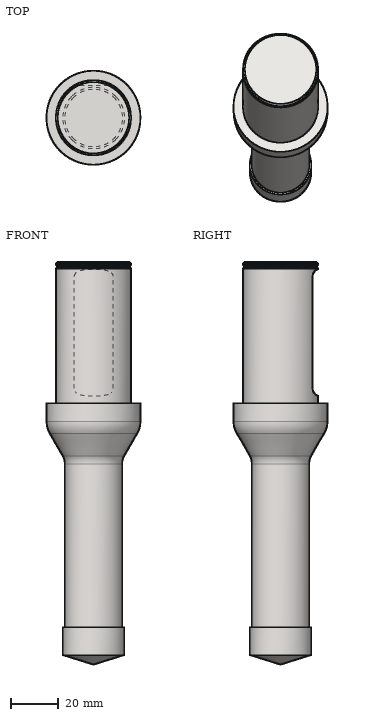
import cadquery as cq
import math

total_length = 171.0
collar_top = 111.0
collar_bottom = 103.3
head_top = 15.9
head_bottom = 4.1

shank_radius = 32.0 / 2
collar_radius = 40.0 / 2
neck_radius = 24.5 / 2
head_radius = 26.2 / 2

chamfer_width = 0.9
chamfer_height = 0.9
groove_top = 169.8
groove_bottom = 168.1
groove_side_height = 0.5
groove_depth = 0.3

taper_angle = math.radians(30)
collar_blend_radius = 10.0
neck_blend_radius = 6.8

flat_distance = 13.7
flat_top = 168.0
flat_bottom = 114.0
flat_corner_radius = 3.0


def blend_offsets(radius, angle):
    """Radial and axial size of an arc that starts parallel to the axis and turns by angle."""
    return radius * (1 - math.cos(angle)), radius * math.sin(angle)


def make_turned_holder():
    """Shank, collar, tapered shoulder and neck as one revolved profile."""
    collar_drop, collar_fall = blend_offsets(collar_blend_radius, taper_angle)
    collar_mid_drop, collar_mid_fall = blend_offsets(collar_blend_radius, taper_angle / 2)
    neck_drop, neck_rise = blend_offsets(neck_blend_radius, taper_angle)
    neck_mid_drop, neck_mid_rise = blend_offsets(neck_blend_radius, taper_angle / 2)

    cone_top_radius = collar_radius - collar_drop
    cone_top = collar_bottom - collar_fall
    cone_bottom_radius = neck_radius + neck_drop
    cone_bottom = cone_top - (cone_top_radius - cone_bottom_radius) / math.tan(taper_angle)
    neck_top = cone_bottom - neck_rise

    return (
        cq.Workplane("XZ")
        .moveTo(0, total_length)
        .lineTo(shank_radius - chamfer_width, total_length)
        .lineTo(shank_radius, total_length - chamfer_height)
        .lineTo(shank_radius, groove_top)
        .lineTo(shank_radius - groove_depth, groove_top - groove_side_height)
        .lineTo(shank_radius - groove_depth, groove_bottom + groove_side_height)
        .lineTo(shank_radius, groove_bottom)
        .lineTo(shank_radius, collar_top)
        .lineTo(collar_radius, collar_top)
        .lineTo(collar_radius, collar_bottom)
        .threePointArc(
            (collar_radius - collar_mid_drop, collar_bottom - collar_mid_fall),
            (cone_top_radius, cone_top),
        )
        .lineTo(cone_bottom_radius, cone_bottom)
        .threePointArc(
            (neck_radius + neck_mid_drop, neck_top + neck_mid_rise),
            (neck_radius, neck_top),
        )
        .lineTo(neck_radius, head_top)
        .lineTo(0, head_top)
        .close()
        .revolve(360, (0, 0), (0, 1))
    )


def make_flat_cutter():
    """Block that mills the clamping flat, rounded along its two inner end corners."""
    block_depth = collar_radius - flat_distance
    return (
        cq.Workplane("XY")
        .box(2 * shank_radius, block_depth, flat_top - flat_bottom, centered=(True, False, False))
        .translate((0, flat_distance, flat_bottom))
        .faces("<Y")
        .edges("|X")
        .fillet(flat_corner_radius)
    )


def make_holder():
    """Turned holder with the clamping flat cut into its shank."""
    return make_turned_holder().cut(make_flat_cutter())


def make_drill_head():
    """Cylindrical cutting head with a shallow conical point."""
    return (
        cq.Workplane("XZ")
        .moveTo(0, 0)
        .lineTo(head_radius, head_bottom)
        .lineTo(head_radius, head_top)
        .lineTo(0, head_top)
        .close()
        .revolve(360, (0, 0), (0, 1))
    )


holder = make_holder()
drill_head = make_drill_head()

result = cq.Compound.makeCompound([holder.val(), drill_head.val()])